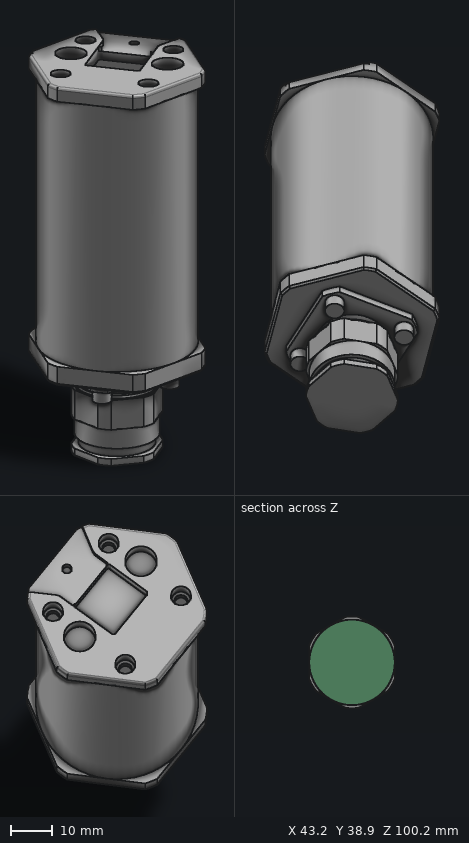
import cadquery as cq

NUT_RIM_TOP = 1.8
GROOVE_TOP = 4.2
NUT_SLEEVE_TOP = 9.3
NUT_HEX_TOP = 16.9
NUT_TOP = 17.7
FLANGE_BOTTOM = 20.8
BASE_BOTTOM = 22.9
BASE_TOP = 27.9
HEAD_BOTTOM = 96.5
HEAD_TOP = 100.2

HOUSING_WIDTH = 38.9
HOUSING_CORNER_DIA = 43.2
HEAD_FILLET = 0.7
BASE_CHAMFER = 0.5

NUT_WIDTH = 20.5
NUT_CORNER_DIA = 22.0
NUT_CHAMFER = 0.5
GROOVE_DIA = 18.5
NECK_DIA = 17.4
FLANGE_WIDTH = 25.6
FLANGE_CORNER_DIA = 32.1
SCREW_COUNT = 4
SCREW_RADIUS = 13.1
SCREW_HEAD_DIA = 4.6

RECESS_DEPTH = 1.2
SLOT_WIDTH = 13.6
MOUTH_WIDTH = 22.0
FLARE_START_Y = 12.3
FLARE_FILLET = 3.0
POCKET_DEPTH = 3.4
POCKET_FRONT_Y = -4.3
POCKET_BACK_Y = 8.0
POCKET_CORNER_RADIUS = 0.7
PIN_HOLE_DIA = 2.3
PIN_HOLE_Y = 15.1
PIN_HOLE_DEPTH = 2.0
BOLT_SPACING = 21.8
BOLT_HEAD_DIA = 4.8
BOLT_HEAD_DEPTH = 4.0
BOLT_HOLE_DIA = 3.2
BOLT_HOLE_DEPTH = 6.0
PORT_DIA = 7.6
PORT_X = 12.0
PORT_Y = 2.0
PORT_DEPTH = 4.0


def disc(diameter, bottom, top):
    """Round disc on the Z axis."""
    return cq.Workplane("XY").workplane(offset=bottom).circle(diameter / 2).extrude(top - bottom)


def trimmed_polygon(sides, width, corner_diameter, bottom, top, turn=0):
    """Regular polygonal plate with its corners rounded by a circle and, before turning, a flat facing +X."""
    plate = (
        cq.Workplane("XY")
        .workplane(offset=bottom)
        .polygon(sides, width, circumscribed=True)
        .extrude(top - bottom)
        .rotate((0, 0, 0), (0, 0, 1), turn)
    )
    return plate.intersect(disc(corner_diameter, bottom, top))


def head_holes(points, diameter, top, depth):
    """Cutting cylinders that go down from the given level."""
    return cq.Workplane("XY").workplane(offset=top).pushPoints(points).circle(diameter / 2).extrude(-depth)


def make_recess():
    """Shallow slot that flares out through the +Y edge of the head plate."""
    half_slot = SLOT_WIDTH / 2
    half_mouth = MOUTH_WIDTH / 2
    mouth_y = HOUSING_WIDTH / 2
    return (
        cq.Workplane("XY")
        .workplane(offset=HEAD_TOP - RECESS_DEPTH)
        .moveTo(-half_slot, POCKET_BACK_Y)
        .lineTo(half_slot, POCKET_BACK_Y)
        .lineTo(half_slot, FLARE_START_Y)
        .lineTo(half_mouth, mouth_y)
        .lineTo(-half_mouth, mouth_y)
        .lineTo(-half_slot, FLARE_START_Y)
        .close()
        .extrude(RECESS_DEPTH)
        .edges("|Z")
        .edges(cq.selectors.BoxSelector(
            (-half_mouth, (POCKET_BACK_Y + FLARE_START_Y) / 2, HEAD_TOP - RECESS_DEPTH),
            (half_mouth, (FLARE_START_Y + mouth_y) / 2, HEAD_TOP),
        ))
        .fillet(FLARE_FILLET)
    )


def make_pocket():
    """Deep pocket at the inner end of the recess."""
    length = POCKET_BACK_Y - POCKET_FRONT_Y
    return (
        cq.Workplane("XY")
        .workplane(offset=HEAD_TOP - POCKET_DEPTH)
        .center(0, (POCKET_BACK_Y + POCKET_FRONT_Y) / 2)
        .rect(SLOT_WIDTH, length)
        .extrude(POCKET_DEPTH)
        .edges("|Z")
        .fillet(POCKET_CORNER_RADIUS)
    )


def make_housing():
    base = trimmed_polygon(6, HOUSING_WIDTH, HOUSING_CORNER_DIA, BASE_BOTTOM, BASE_TOP, turn=30)
    base = base.faces("<Z").chamfer(BASE_CHAMFER)
    tube = disc(HOUSING_WIDTH, BASE_TOP, HEAD_BOTTOM)
    head = trimmed_polygon(6, HOUSING_WIDTH, HOUSING_CORNER_DIA, HEAD_BOTTOM, HEAD_TOP, turn=30)
    head = head.faces(">Z").edges().fillet(HEAD_FILLET)
    housing = base.union(tube).union(head).cut(make_recess()).cut(make_pocket())

    half_bolt = BOLT_SPACING / 2
    bolt_points = [(x, y) for x in (-half_bolt, half_bolt) for y in (-half_bolt, half_bolt)]
    housing = housing.cut(head_holes(bolt_points, BOLT_HEAD_DIA, HEAD_TOP, BOLT_HEAD_DEPTH))
    housing = housing.cut(head_holes(bolt_points, BOLT_HOLE_DIA, HEAD_TOP, BOLT_HOLE_DEPTH))

    port_points = [(-PORT_X, PORT_Y), (PORT_X, PORT_Y)]
    housing = housing.cut(head_holes(port_points, PORT_DIA, HEAD_TOP, PORT_DEPTH))
    recess_floor = HEAD_TOP - RECESS_DEPTH
    return housing.cut(head_holes([(0, PIN_HOLE_Y)], PIN_HOLE_DIA, recess_floor, PIN_HOLE_DEPTH))


def make_connector():
    flange = trimmed_polygon(4, FLANGE_WIDTH, FLANGE_CORNER_DIA, FLANGE_BOTTOM, BASE_BOTTOM, turn=45)
    screws = (
        cq.Workplane("XY")
        .workplane(offset=NUT_TOP)
        .polarArray(SCREW_RADIUS, 0, 360, SCREW_COUNT)
        .circle(SCREW_HEAD_DIA / 2)
        .extrude(FLANGE_BOTTOM - NUT_TOP)
    )
    neck = disc(NECK_DIA, NUT_TOP, FLANGE_BOTTOM)
    collar = disc(NUT_WIDTH, NUT_HEX_TOP, NUT_TOP).faces(">Z").chamfer(NUT_CHAMFER)
    nut_hex = trimmed_polygon(6, NUT_WIDTH, NUT_CORNER_DIA, NUT_SLEEVE_TOP, NUT_HEX_TOP)
    sleeve = disc(NUT_WIDTH, GROOVE_TOP, NUT_SLEEVE_TOP)
    groove = disc(GROOVE_DIA, NUT_RIM_TOP, GROOVE_TOP)
    rim = trimmed_polygon(6, NUT_WIDTH, NUT_CORNER_DIA, 0, NUT_RIM_TOP)

    connector = flange
    for piece in (screws, neck, collar, nut_hex, sleeve, groove, rim):
        connector = connector.union(piece)
    return connector


result = make_housing().union(make_connector())